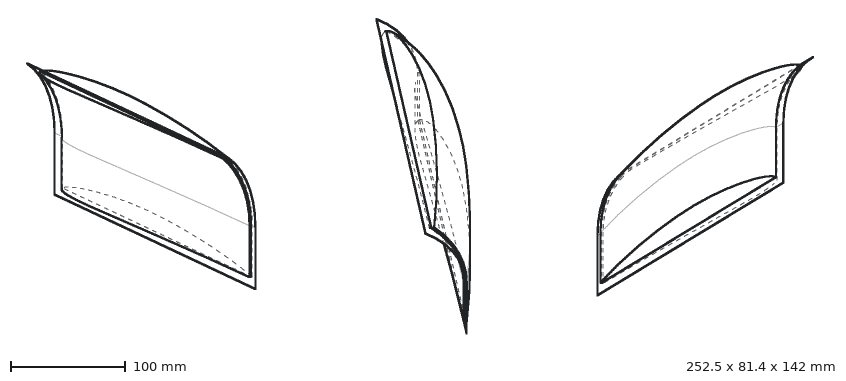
import cadquery as cq
import math

length = 252.5
height = 142.0
chord_drop = 29.5
sheet_thickness = 0.13
bend_start = 60.0
bend_radius = 108.3

nose_margin = 10.0
bottom_margin = 10.0
top_margin = 6.8
tail_margin = 5.8
tail_trim = 5.3
camber = 0.039
camber_place = 0.4
thickness_ratio = 0.12
airfoil_chord = 246.2
foil_twist = 0.3
curve_points = 16
bend_sections = 6

chord_slope = -chord_drop / length
chord_angle = math.atan(chord_slope) - math.radians(foil_twist)
foil_top = height - top_margin
nose_x = -length / 2 + nose_margin


def bend_offset(z, radius=bend_radius):
    """Distance an arc of the given radius has moved towards -Y at height z."""
    rise = max(z - bend_start, 0)
    return radius - math.sqrt(radius**2 - rise**2)


def airfoil_surface(u, side):
    """Point at chord fraction u on the +1 (back) or -1 (front) surface."""
    half = 5 * thickness_ratio * (
        0.2969 * math.sqrt(u) - 0.126 * u - 0.3516 * u**2 + 0.2843 * u**3 - 0.1015 * u**4
    )
    run = camber_place if u < camber_place else 1 - camber_place
    mean = camber * (1 - ((u - camber_place) / run) ** 2)
    tilt = math.atan(-2 * camber * (u - camber_place) / run**2)
    return (u - side * half * math.sin(tilt), mean + side * half * math.cos(tilt))


def foil_section(z):
    """Closed airfoil wire at height z, cut blunt at its tail."""
    offset = bend_offset(z)
    tail_x = length / 2 - tail_margin - tail_trim * offset / bend_offset(foil_top)
    tail_fraction = (tail_x - nose_x) / math.cos(chord_angle) / airfoil_chord

    def place(u, side):
        along, across = (airfoil_chord * value for value in airfoil_surface(u, side))
        x = nose_x + along * math.cos(chord_angle) - across * math.sin(chord_angle)
        y = nose_x * chord_slope + along * math.sin(chord_angle) + across * math.cos(chord_angle)
        return cq.Vector(x, y - offset, z)

    fractions = [tail_fraction * (i / curve_points) ** 2 for i in range(curve_points + 1)]
    back = [place(u, 1) for u in reversed(fractions)]
    front = [place(u, -1) for u in fractions[1:]]
    outline = cq.Edge.makeSpline(back + front)
    tail = cq.Edge.makeLine(front[-1], back[0])
    return cq.Wire.assembleEdges([outline, tail])


def make_sheet():
    """Bent strip profile at the -X end, pushed along the sloping chord."""
    half = sheet_thickness / 2
    start_y = -length / 2 * chord_slope
    middle_z = (bend_start + height) / 2

    def profile_point(side, z):
        offset = bend_offset(z, bend_radius + side * half)
        return (start_y + side * half - offset, z)

    profile = (
        cq.Workplane("YZ", origin=(-length / 2, 0, 0))
        .moveTo(*profile_point(-1, 0))
        .lineTo(*profile_point(-1, bend_start))
        .threePointArc(profile_point(-1, middle_z), profile_point(-1, height))
        .lineTo(*profile_point(1, height))
        .threePointArc(profile_point(1, middle_z), profile_point(1, bend_start))
        .lineTo(*profile_point(1, 0))
        .close()
    )
    run = cq.Vector(length, -chord_drop, 0)
    return cq.Solid.extrudeLinear(profile.val(), [], run)


def make_foil():
    step = (foil_top - bend_start) / bend_sections
    straight = cq.Solid.makeLoft([foil_section(bottom_margin), foil_section(bend_start)], True)
    bent = cq.Solid.makeLoft([foil_section(bend_start + i * step) for i in range(bend_sections + 1)])
    return cq.Workplane(straight).union(cq.Workplane(bent))


result = make_foil().union(cq.Workplane(make_sheet()))